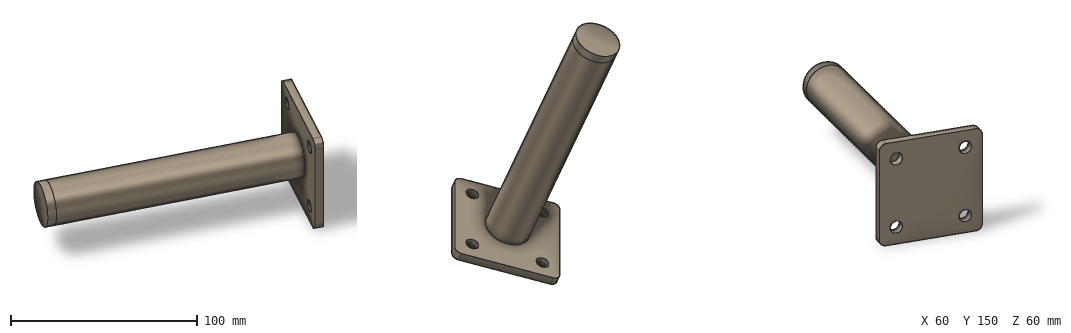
import cadquery as cq

total_length = 150.0
plate_side = 60.0
plate_thickness = 5.0
plate_corner_radius = 4.0
hole_diameter = 7.0
hole_spacing = 40.0
post_diameter = 25.0
cap_thickness = 5.0

post_start = cap_thickness
plate_start = total_length - plate_thickness


def plane_at(y):
    """Plane across the axis at the given Y, with its normal along +Y."""
    return cq.Workplane("XZ", origin=(0, y, 0)).transformed(rotate=(180, 0, 0))


def make_plate():
    """Square mounting plate with rounded corners and four screw holes."""
    blank = plane_at(plate_start).rect(plate_side, plate_side).extrude(plate_thickness)
    rounded = blank.edges("|Y").fillet(plate_corner_radius)
    holes = (
        plane_at(plate_start)
        .rect(hole_spacing, hole_spacing, forConstruction=True)
        .vertices()
        .circle(hole_diameter / 2)
        .extrude(plate_thickness)
    )
    return rounded.cut(holes)


def make_post():
    """Round post between the end cap and the plate."""
    return plane_at(post_start).circle(post_diameter / 2).extrude(plate_start - post_start)


def make_cap():
    """Flat disc that closes the free end of the post."""
    return plane_at(0).circle(post_diameter / 2).extrude(cap_thickness)


plate = make_plate()
post = make_post()
cap = make_cap()

result = cq.Compound.makeCompound([plate.val(), post.val(), cap.val()])